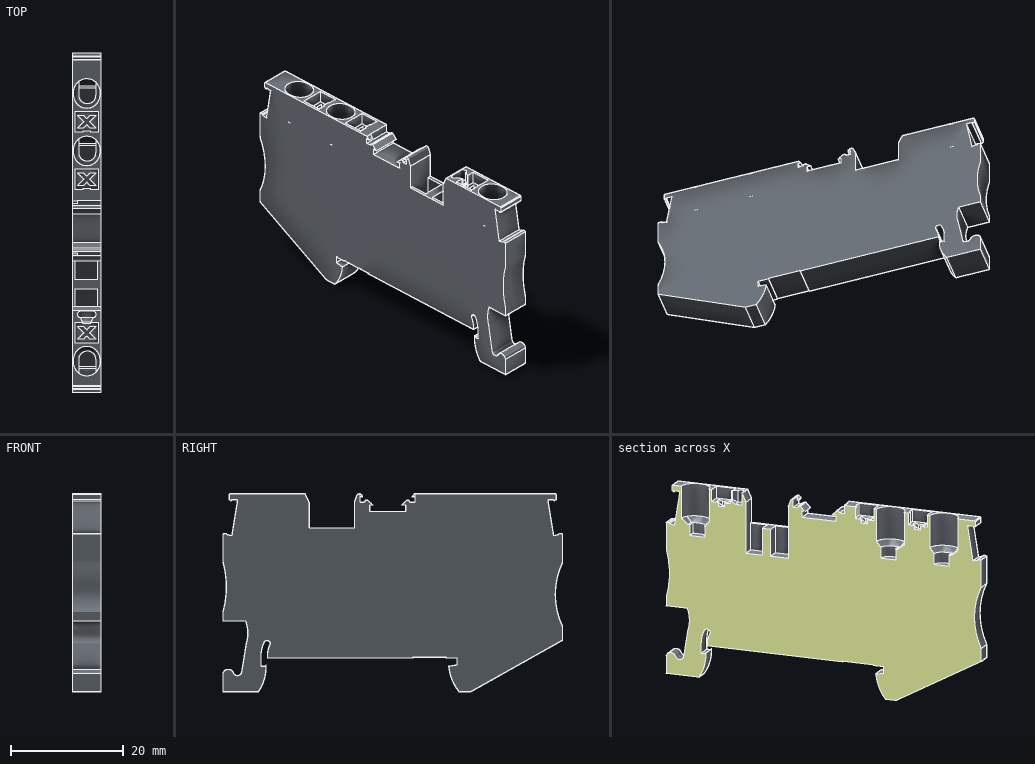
import cadquery as cq
import math

WIDTH = 5.15
LENGTH = 60.4
HEIGHT = 35.25
END = LENGTH / 2
SIDE = -WIDTH / 2

RAIL_SEAT = 6.02
SHOULDER = 28.1
LIP_BOTTOM = 34.13
SLOT_FLOOR = 29.18
MARKER_FLOOR = 32.11
RELIEF_TOP = RAIL_SEAT + 0.12
GROOVE_FLOOR = 33.75
RIDGE_TOP = 34.1
RIDGE_BOTTOM = 33.2
TOOTH_BOTTOM = 34.66

LONG_BLOCK_END = 3.94
HOOK_FACE = -5.8
SLOT_START = -6.82
SLOT_END = -14.84
SHORT_BLOCK_END = -15.58
RELIEF_START = 3.57
RELIEF_END = 9.5
FIXED_FOOT_FACE = 11.42
SPRING_FOOT_FACE = -23.41
SLIT_FACE = -22.31
TOOTH_WIDTH = 0.95

LIP_INSET = 1.13
LIP_CHAMFER = 0.15

LONG_BLOCK_FUNNELS = (22.7, 12.48)
SHORT_BLOCK_FUNNEL = -24.3
FUNNEL_RADIUS = 2.34
FUNNEL_STRETCH = 0.58
ARCH_KNEE = 2.22
MOUTH_DEPTH = 6.0
FUNNEL_DEPTH = 1.0
THROAT_LEFT = -1.4
THROAT_RIGHT = 1.6
THROAT_FLAT = 1.62
THROAT_ROUND = 1.52
THROAT_STEP = 0.35
THROAT_DEPTH = 2.0

BUTTON_OFFSET = 4.73
BUTTON_WIDTH = 4.26
BUTTON_LENGTH = 3.66
BUTTON_DEPTH = 2.2
CROSS_HALF_WIDTH = 1.63
CROSS_INNER = 0.57
CROSS_HALF_LENGTH = 1.12
CROSS_DEPTH = 0.7
RIB_WIDTH = 1.3
RIB_DEPTH = 0.18

WINDOW_WIDTH = 4.02
WINDOW_CENTRE = -0.07
WINDOW_SPANS = ((SLOT_START, -10.1), (SLOT_END, -11.73))
WINDOW_DEPTH = 5.0

TEST_START = -15.72
TEST_LENGTH = 1.15
TEST_HALF_WIDTH = 1.63
TEST_CORNER = 0.5
TEST_MOUTH_START = 1.1
TEST_MOUTH_END = 0.64
TEST_LAND = 0.3
TEST_RISE = 0.5


def end_shoulder(sign):
    """Points of one upper end, from the top face down to the end face; sign picks the end."""
    lip = END - LIP_INSET
    points = [
        (lip - LIP_CHAMFER, HEIGHT),
        (lip, HEIGHT - LIP_CHAMFER),
        (lip, LIP_BOTTOM + 0.05),
        (lip - 0.35, LIP_BOTTOM - 0.2),
        (lip - 0.45, LIP_BOTTOM),
        (END - 2.6, LIP_BOTTOM),
        (END - 1.58, SHOULDER - 0.3),
        (END - 0.7, SHOULDER - 0.1),
        (END - 0.56, SHOULDER + 0.1),
        (END, SHOULDER),
    ]
    return [(sign * y, z) for y, z in points]


def extrude_profile(sketch, width):
    """Extrude a closed Y-Z profile from the -X side face."""
    return sketch.close().extrude(width).translate((SIDE, 0, 0))


def make_body():
    """Full-width housing profile with the rail foot, spring foot and top recesses."""
    left_shoulder = end_shoulder(1)
    right_shoulder = end_shoulder(-1)
    sketch = cq.Workplane("YZ").moveTo(*left_shoulder[0])

    groove = [
        (LONG_BLOCK_END, HEIGHT),
        (LONG_BLOCK_END, GROOVE_FLOOR),
        (3.04, GROOVE_FLOOR),
    ]
    for point in groove:
        sketch = sketch.lineTo(*point)
    sketch = sketch.threePointArc((2.9, 34.02), (2.5, RIDGE_TOP))
    recess = [
        (1.57, RIDGE_BOTTOM),
        (2.29, RIDGE_BOTTOM),
        (2.29, MARKER_FLOOR),
        (-4.08, MARKER_FLOOR),
        (-4.08, RIDGE_BOTTOM),
        (-3.54, RIDGE_BOTTOM),
        (-4.45, RIDGE_TOP),
        (-4.85, RIDGE_TOP),
        (-5.07, GROOVE_FLOOR),
        (HOOK_FACE, GROOVE_FLOOR),
        (HOOK_FACE, HEIGHT),
        (-5.95, HEIGHT),
    ]
    for point in recess:
        sketch = sketch.lineTo(*point)
    sketch = sketch.threePointArc((-6.23, 35.14), (-6.42, 34.9))
    slot = [
        (SLOT_START, 33.8),
        (SLOT_START, SLOT_FLOOR),
        (SLOT_END, SLOT_FLOOR),
        (SLOT_END, 33.65),
        (SHORT_BLOCK_END, HEIGHT),
    ]
    for point in slot + right_shoulder:
        sketch = sketch.lineTo(*point)

    sketch = (
        sketch.lineTo(-END, 23.14)
        .threePointArc((-29.6, 18.67), (-END, 14.2))
        .lineTo(-END, 12.57)
        .lineTo(-26.15, 12.57)
        .threePointArc((-25.78, 10.4), (-26.06, 8.57))
        .lineTo(-26.88, 3.5)
        .threePointArc((-27.6, 2.92), (-28.34, 3.45))
        .threePointArc((-29.4, 4.02), (-END, 3.3))
        .lineTo(-END, 0)
    )

    sketch = (
        sketch.lineTo(-23.89, 0)
        .threePointArc((-22.87, 2.05), (-22.5, 4.45))
        .lineTo(-22.5, 4.75)
        .lineTo(-22.7, 4.57)
        .lineTo(SPRING_FOOT_FACE, 4.57)
        .lineTo(SPRING_FOOT_FACE, 6.4)
        .threePointArc((-23.27, 7.62), (-22.87, 8.78))
        .threePointArc((-22.3, 9.12), (-21.77, 8.6))
        .threePointArc((-22.15, 7.6), (SLIT_FACE, 6.6))
        .lineTo(SLIT_FACE, RAIL_SEAT)
    )

    sketch = (
        sketch.lineTo(RELIEF_START, RAIL_SEAT)
        .lineTo(RELIEF_START, RELIEF_TOP)
        .lineTo(RELIEF_END, RELIEF_TOP)
        .lineTo(RELIEF_END, RAIL_SEAT)
        .lineTo(FIXED_FOOT_FACE, RAIL_SEAT)
        .lineTo(FIXED_FOOT_FACE, 4.82)
        .lineTo(9.93, 4.57)
        .threePointArc((10.5, 2.2), (11.8, 0))
        .lineTo(13.84, 0)
        .lineTo(END, 9.18)
        .lineTo(END, 11.64)
        .threePointArc((28.92, 17.3), (END, 23.0))
    )
    for point in reversed(left_shoulder):
        sketch = sketch.lineTo(*point)
    return extrude_profile(sketch, WIDTH)


def make_teeth():
    """Two short latch teeth over the groove, beside the -X face."""
    block_tooth = [
        (LONG_BLOCK_END, HEIGHT),
        (3.85, HEIGHT),
        (3.4, TOOTH_BOTTOM),
        (LONG_BLOCK_END, TOOTH_BOTTOM),
    ]
    hook_tooth = [
        (HOOK_FACE, HEIGHT),
        (-5.36, TOOTH_BOTTOM + 0.2),
        (-5.36, TOOTH_BOTTOM),
        (HOOK_FACE, TOOTH_BOTTOM),
    ]
    first = extrude_profile(cq.Workplane("YZ").polyline(block_tooth), TOOTH_WIDTH)
    second = extrude_profile(cq.Workplane("YZ").polyline(hook_tooth), TOOTH_WIDTH)
    return first, second


def throat_wire(sketch, flat):
    """D-shaped outline whose flat side lies at +Y."""
    middle = (THROAT_LEFT + THROAT_RIGHT) / 2
    return (
        sketch.moveTo(THROAT_LEFT, flat)
        .lineTo(THROAT_RIGHT, flat)
        .lineTo(THROAT_RIGHT, 0)
        .threePointArc((middle, -THROAT_ROUND), (THROAT_LEFT, 0))
        .close()
    )


def mouth_wire(sketch):
    """Rounded outline, a semicircle below and a raised arch above."""
    def arch(x):
        return x, FUNNEL_STRETCH + math.sqrt(FUNNEL_RADIUS**2 - x**2)

    return (
        sketch.moveTo(*arch(THROAT_LEFT))
        .threePointArc(arch(0), arch(THROAT_RIGHT))
        .threePointArc(arch(ARCH_KNEE), (FUNNEL_RADIUS, 0))
        .threePointArc((0, -FUNNEL_RADIUS), (-FUNNEL_RADIUS, 0))
        .threePointArc(arch(-ARCH_KNEE), arch(THROAT_LEFT))
        .close()
    )


def make_funnel(y, mirrored):
    """Straight rounded mouth that tapers at its bottom to a D-shaped throat, centred at y."""
    mouth = mouth_wire(cq.Workplane("XY")).extrude(MOUTH_DEPTH)
    rim = mouth_wire(cq.Workplane("XY"))
    taper = throat_wire(rim.workplane(offset=-FUNNEL_DEPTH), THROAT_FLAT).loft(ruled=True)
    throat_plane = cq.Workplane("XY").workplane(offset=-FUNNEL_DEPTH)
    throat = throat_wire(throat_plane, THROAT_FLAT - THROAT_STEP).extrude(-THROAT_DEPTH)
    cutter = mouth.union(taper).union(throat)
    if mirrored:
        cutter = cutter.mirror("XZ")
    return cutter.translate((0, y, HEIGHT - MOUTH_DEPTH))


def box(x_size, y_size, depth, x, y, top):
    """Box hanging down from the level top, centred at x, y."""
    return (
        cq.Workplane("XY")
        .box(x_size, y_size, depth, centered=(True, True, False))
        .translate((x, y, top - depth))
    )


def make_button(y, inward):
    """Push-button pocket cutter with a cross recess; inward is the Y sign of its ribbed wall."""
    pocket = box(BUTTON_WIDTH, BUTTON_LENGTH, BUTTON_DEPTH, 0, y, HEIGHT)
    rib_y = y + inward * (BUTTON_LENGTH - RIB_DEPTH) / 2
    pocket = pocket.cut(box(RIB_WIDTH, RIB_DEPTH, BUTTON_DEPTH, 0, rib_y, HEIGHT))
    for side in (1, -1):
        bar = [
            (-side * CROSS_HALF_WIDTH, -CROSS_HALF_LENGTH),
            (-side * CROSS_INNER, -CROSS_HALF_LENGTH),
            (side * CROSS_HALF_WIDTH, CROSS_HALF_LENGTH),
            (side * CROSS_INNER, CROSS_HALF_LENGTH),
        ]
        slot = cq.Workplane("XY").polyline(bar).close().extrude(-CROSS_DEPTH)
        pocket = pocket.union(slot.translate((0, y, HEIGHT - BUTTON_DEPTH)))
    return pocket


def make_test_opening(button_wall):
    """Cutter for a rounded opening with a ramped mouth that narrows toward button_wall."""
    y = TEST_START - TEST_LENGTH / 2
    hole = box(2 * TEST_HALF_WIDTH, TEST_LENGTH, BUTTON_DEPTH, 0, y, HEIGHT)
    hole = hole.edges("|Z").fillet(TEST_CORNER)
    start = TEST_START - TEST_LENGTH
    mouth = [
        (-TEST_MOUTH_START, start),
        (TEST_MOUTH_START, start),
        (TEST_MOUTH_END, button_wall),
        (-TEST_MOUTH_END, button_wall),
    ]
    channel = cq.Workplane("XY").polyline(mouth).close().extrude(-BUTTON_DEPTH)
    channel = channel.translate((0, 0, HEIGHT))
    floor = HEIGHT - BUTTON_DEPTH
    ramp = [
        (start, floor),
        (button_wall + TEST_LAND, floor + TEST_RISE),
        (button_wall, floor + TEST_RISE),
        (button_wall, floor),
    ]
    channel = channel.cut(extrude_profile(cq.Workplane("YZ").polyline(ramp), WIDTH))
    return hole.union(channel)


def make_windows():
    """Cutters for the rectangular windows sunk into the slot floor."""
    for start, end in WINDOW_SPANS:
        length = abs(end - start)
        middle = (start + end) / 2
        yield box(WINDOW_WIDTH, length, WINDOW_DEPTH, WINDOW_CENTRE, middle, SLOT_FLOOR)


result = make_body()
for tooth in make_teeth():
    result = result.union(tooth)
for funnel_y in LONG_BLOCK_FUNNELS:
    result = result.cut(make_funnel(funnel_y, False))
    result = result.cut(make_button(funnel_y - BUTTON_OFFSET, -1))
short_button = SHORT_BLOCK_FUNNEL + BUTTON_OFFSET
result = result.cut(make_funnel(SHORT_BLOCK_FUNNEL, True))
result = result.cut(make_button(short_button, 1))
result = result.cut(make_test_opening(short_button + BUTTON_LENGTH / 2 - RIB_DEPTH))
for window in make_windows():
    result = result.cut(window)